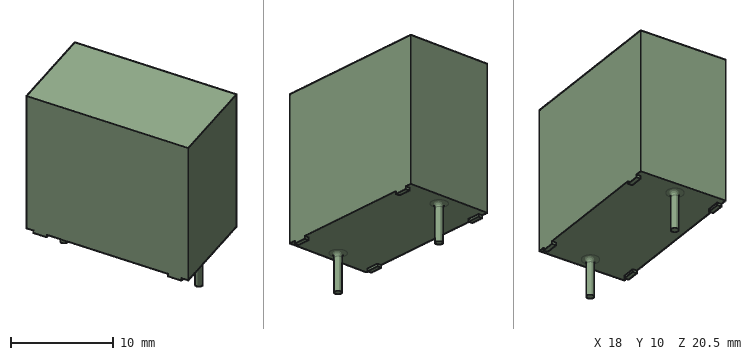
import cadquery as cq

case_length = 18.0
case_width = 10.0
seated_height = 16.5

standoff_height = 0.3
standoff_length = 1.5
standoff_width = 0.5
standoff_end_gap = 0.75

lead_pitch = 15.0
lead_diameter = 0.8
lead_length = 4.0
flare_radius = 0.5

both_sides = (-1, 1)


def make_case():
    return (
        cq.Workplane("XY", origin=(0, 0, standoff_height))
        .box(case_length, case_width, seated_height - standoff_height, centered=(True, True, False))
    )


def make_standoffs():
    x_offset = case_length / 2 - standoff_end_gap - standoff_length / 2
    y_offset = (case_width - standoff_width) / 2
    centers = [(x * x_offset, y * y_offset) for x in both_sides for y in both_sides]
    return (
        cq.Workplane("XY")
        .pushPoints(centers)
        .rect(standoff_length, standoff_width)
        .extrude(standoff_height)
    )


def make_lead(x_position):
    """Round lead whose top flares out in a quarter arc to meet the case."""
    lead_radius = lead_diameter / 2
    flare_bottom = standoff_height - flare_radius
    arc_center_radius = lead_radius + flare_radius
    arc_inset = flare_radius * 0.5 ** 0.5
    profile = (
        cq.Workplane("XZ")
        .moveTo(0, -lead_length)
        .lineTo(lead_radius, -lead_length)
        .lineTo(lead_radius, flare_bottom)
        .threePointArc(
            (arc_center_radius - arc_inset, flare_bottom + arc_inset),
            (arc_center_radius, standoff_height),
        )
        .lineTo(0, standoff_height)
        .close()
    )
    return profile.revolve(360, (0, 0, 0), (0, 1, 0)).translate((x_position, 0, 0))


result = make_case().union(make_standoffs())
for side in both_sides:
    result = result.union(make_lead(side * lead_pitch / 2))